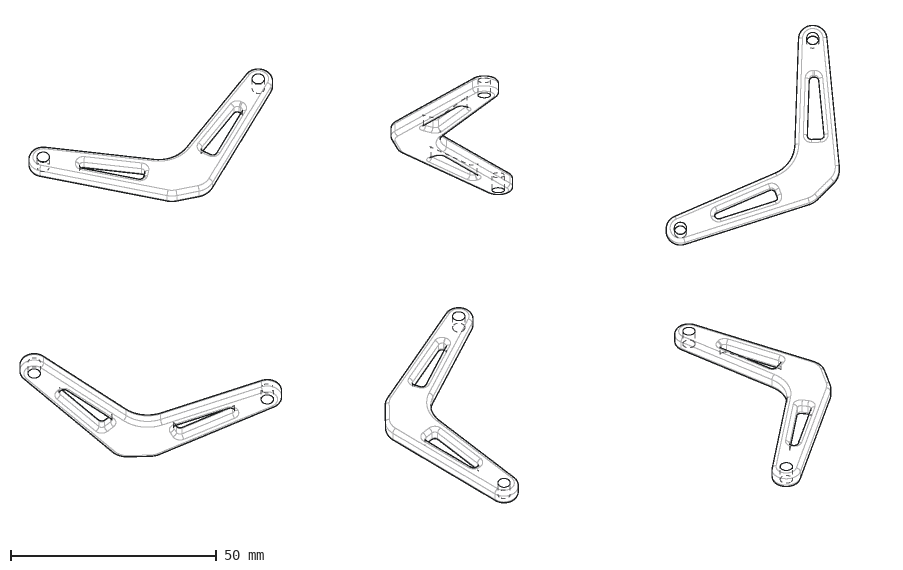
import cadquery as cq
import math

thickness = 4.0
edge_round = 1.0
pivot_hole_diameter = 3.0
arm_end_radius = 3.5

left_pivot = cq.Vector(0, 0)
upper_pivot = cq.Vector(42.95, 37.95)

inner_corner = cq.Vector(30.75, 8.7)
lower_corner = cq.Vector(33.2, -1.3)
outer_corner = cq.Vector(41.0, 3.4)
inner_corner_radius = 8.0
outer_corner_radius = 5.0

slot_rim_width = 3.0
slot_start = 9.0
slot_end = 24.95
slot_corner_radius = 0.95


def edge_angle(pivot, corner, side):
    """Direction from the arm end to a corner, tangent to the end circle.

    Side is +1 when the edge lies left of the pivot, looking along it, and -1 when right.
    """
    offset = corner - pivot
    bearing = math.atan2(offset.y, offset.x)
    return bearing - side * math.asin(arm_end_radius / offset.Length)


def polar(length, angle):
    return cq.Vector(length * math.cos(angle), length * math.sin(angle))


def edge_start(pivot, angle, side):
    """Point where an arm edge leaves the end circle."""
    return pivot + polar(arm_end_radius, angle + side * math.pi / 2)


def round_vertical_edge(body, corner, radius):
    """Round the vertical edge that stands on a corner point."""
    selector = cq.selectors.NearestToPointSelector((corner.x, corner.y, thickness / 2))
    return body.edges("|Z").edges(selector).fillet(radius)


def make_slot(pivot, left_angle, right_angle):
    """Tapered slot with both ends square to the centreline of its arm."""
    axis_angle = (left_angle + right_angle) / 2
    half_taper = (left_angle - right_angle) / 2
    base_half_width = (arm_end_radius - slot_rim_width) / math.cos(half_taper)

    def half_width(distance):
        return base_half_width + distance * math.tan(half_taper)

    def slot_point(distance, side):
        across = polar(half_width(distance), axis_angle + side * math.pi / 2)
        return pivot + polar(distance, axis_angle) + across

    corners = [
        slot_point(slot_start, -1),
        slot_point(slot_end, -1),
        slot_point(slot_end, 1),
        slot_point(slot_start, 1),
    ]
    slot = cq.Workplane("XY").polyline([p.toTuple()[:2] for p in corners]).close().extrude(thickness)
    return slot.edges("|Z").fillet(slot_corner_radius)


left_arm_inner = edge_angle(left_pivot, inner_corner, 1)
left_arm_outer = edge_angle(left_pivot, lower_corner, -1)
upper_arm_inner = edge_angle(upper_pivot, inner_corner, -1)
upper_arm_outer = edge_angle(upper_pivot, outer_corner, 1)

left_tip = left_pivot - polar(arm_end_radius, (left_arm_inner + left_arm_outer) / 2)
upper_tip = upper_pivot - polar(arm_end_radius, (upper_arm_inner + upper_arm_outer) / 2)

body = (
    cq.Workplane("XY")
    .moveTo(lower_corner.x, lower_corner.y)
    .lineTo(outer_corner.x, outer_corner.y)
    .lineTo(*edge_start(upper_pivot, upper_arm_outer, 1).toTuple()[:2])
    .threePointArc(upper_tip.toTuple()[:2], edge_start(upper_pivot, upper_arm_inner, -1).toTuple()[:2])
    .lineTo(inner_corner.x, inner_corner.y)
    .lineTo(*edge_start(left_pivot, left_arm_inner, 1).toTuple()[:2])
    .threePointArc(left_tip.toTuple()[:2], edge_start(left_pivot, left_arm_outer, -1).toTuple()[:2])
    .close()
    .extrude(thickness)
)

body = round_vertical_edge(body, inner_corner, inner_corner_radius)
body = round_vertical_edge(body, lower_corner, outer_corner_radius)
body = round_vertical_edge(body, outer_corner, outer_corner_radius)

body = body.cut(make_slot(left_pivot, left_arm_inner, left_arm_outer))
body = body.cut(make_slot(upper_pivot, upper_arm_outer, upper_arm_inner))
body = body.faces("<Z or >Z").edges().fillet(edge_round)

pivot_points = [(pivot.x, pivot.y) for pivot in (left_pivot, upper_pivot)]
pivot_holes = cq.Workplane("XY").pushPoints(pivot_points).circle(pivot_hole_diameter / 2).extrude(thickness)
result = body.cut(pivot_holes)